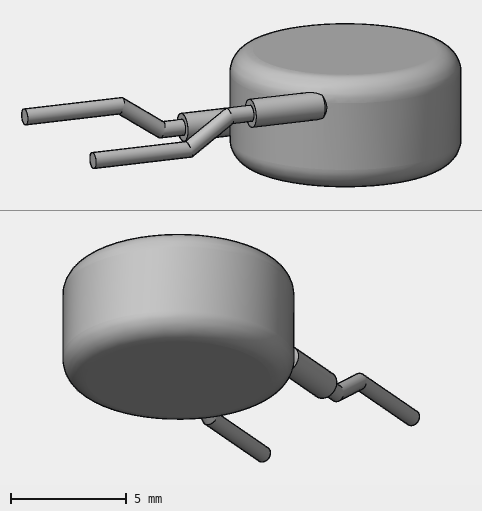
import cadquery as cq

DISC_DIAMETER = 10.0
DISC_RADIUS = DISC_DIAMETER / 2
DISC_HEIGHT = 5.0
RIM_RADIUS = 1.0

TOTAL_LENGTH = 18.5
LEAD_SPACING = 7.51
LEAD_OFFSET_Z = 1.3
WIRE_DIAMETER = 0.7
FIRST_BEND_Y = -7.07
SECOND_BEND_Y = -9.0
TIP_Y = DISC_RADIUS - TOTAL_LENGTH

COLLAR_DIAMETER = 1.22
COLLAR_INNER_Y = -2.65
COLLAR_OUTER_Y = -6.07
COLLAR_CHAMFER = 0.18

SIDES = (-1, 1)


def make_wire(side):
    """Return one round wire; side is -1 for the low lead at -X and 1 for the high lead at +X."""
    x = side * LEAD_SPACING / 2
    z = side * LEAD_OFFSET_Z
    path = cq.Workplane("YZ", origin=(x, 0, 0)).polyline(
        [(COLLAR_INNER_Y, z), (FIRST_BEND_Y, z), (SECOND_BEND_Y, 0), (TIP_Y, 0)]
    )
    profile = cq.Workplane("XZ", origin=(x, COLLAR_INNER_Y, z)).circle(WIRE_DIAMETER / 2)
    return profile.sweep(path, transition="right")


def make_collar(side):
    """Return the coating collar of one lead, chamfered at the end beside the disc."""
    start = (side * LEAD_SPACING / 2, COLLAR_INNER_Y, side * LEAD_OFFSET_Z)
    collar = (
        cq.Workplane("XZ", origin=start)
        .circle(COLLAR_DIAMETER / 2)
        .extrude(COLLAR_INNER_Y - COLLAR_OUTER_Y)
    )
    return collar.faces(">Y").edges().chamfer(COLLAR_CHAMFER)


def make_housing(wires):
    """Return the coated disc with both collars, with a blind hole matching each wire."""
    housing = (
        cq.Workplane("XY", origin=(0, 0, -DISC_HEIGHT / 2))
        .circle(DISC_RADIUS)
        .extrude(DISC_HEIGHT)
        .edges("%CIRCLE")
        .fillet(RIM_RADIUS)
    )
    for side in SIDES:
        housing = housing.union(make_collar(side))
    for wire in wires:
        housing = housing.cut(wire)
    return housing


lead_wires = [make_wire(side) for side in SIDES]
housing = make_housing(lead_wires)

result = cq.Compound.makeCompound([housing.val(), *[wire.val() for wire in lead_wires]])